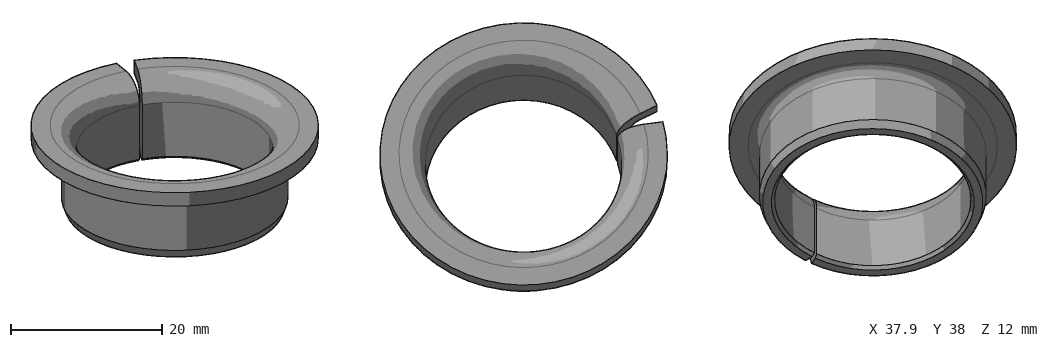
import cadquery as cq
import math

flange_diameter = 37.98
barrel_diameter = 29.95
wall = 2.0
height = 12.0
outer_fillet = 1.5

chamfer_height = 1.2
chamfer_angle = 20.0

bore_chamfer = 0.4

split_gap_at_bore = 0.38
split_half_angle = 10.0

flange_radius = flange_diameter / 2
barrel_radius = barrel_diameter / 2
bore_radius = barrel_radius - wall
inner_fillet = outer_fillet + wall
flange_bottom = height - wall


def bushing_body():
    """Revolve the wall section, with its rounded flange bend, about Z."""
    arc_center_r = barrel_radius + outer_fillet
    arc_center_z = flange_bottom - outer_fillet
    diagonal = math.sqrt(0.5)
    outer_mid = (arc_center_r - outer_fillet * diagonal, arc_center_z + outer_fillet * diagonal)
    inner_mid = (arc_center_r - inner_fillet * diagonal, arc_center_z + inner_fillet * diagonal)
    chamfer_depth = chamfer_height * math.tan(math.radians(chamfer_angle))
    section = (
        cq.Workplane("XZ")
        .moveTo(bore_radius, bore_chamfer)
        .lineTo(bore_radius + bore_chamfer, 0)
        .lineTo(barrel_radius - chamfer_depth, 0)
        .lineTo(barrel_radius, chamfer_height)
        .lineTo(barrel_radius, arc_center_z)
        .threePointArc(outer_mid, (arc_center_r, flange_bottom))
        .lineTo(flange_radius, flange_bottom)
        .lineTo(flange_radius, height)
        .lineTo(arc_center_r, height)
        .threePointArc(inner_mid, (bore_radius, arc_center_z))
        .close()
    )
    body = section.revolve(360, (0, 0, 0), (0, 1, 0))
    return body.rotate((0, 0, 0), (0, 0, 1), 180)


def split_wedge():
    """Full-height wedge that widens outward from the bore."""
    slope = math.tan(math.radians(split_half_angle))
    apex_radius = bore_radius - split_gap_at_bore / 2 / slope
    outer_end = flange_radius + wall
    half_width = (outer_end - apex_radius) * slope
    return (
        cq.Workplane("XY")
        .moveTo(-apex_radius, 0)
        .lineTo(-outer_end, half_width)
        .lineTo(-outer_end, -half_width)
        .close()
        .extrude(height)
    )


result = bushing_body().cut(split_wedge())